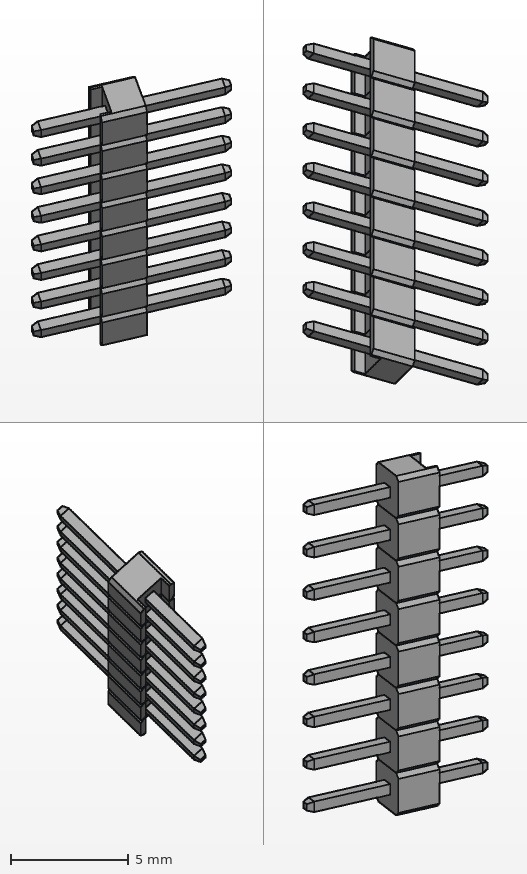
import cadquery as cq

UNIT_COUNT = 8
PITCH = 2.0

BLOCK_WIDTH = PITCH
BLOCK_DEPTH = PITCH
CORNER_CHAMFER = PITCH / 10
WALL = 0.3
CHANNEL_DEPTH = PITCH / 4

PIN_LENGTH = 8.8
PIN_WIDTH = PITCH / 4
TIP_WIDTH = 0.6 * PIN_WIDTH
TIP_LENGTH = TIP_WIDTH
REAR_PIN_LENGTH = 2 * PITCH

PIN_FRONT = -PIN_LENGTH / 2
PIN_REAR = PIN_LENGTH / 2
BLOCK_REAR = PIN_REAR - REAR_PIN_LENGTH
BLOCK_FRONT = BLOCK_REAR - BLOCK_DEPTH


def make_block():
    """Chamfered block with a channel across its front, open at top and bottom."""
    block = (
        cq.Workplane("XY")
        .box(BLOCK_WIDTH, BLOCK_DEPTH, PITCH)
        .edges("|Y")
        .chamfer(CORNER_CHAMFER)
        .translate((0, BLOCK_FRONT + BLOCK_DEPTH / 2, 0))
    )
    channel = (
        cq.Workplane("XY")
        .box(BLOCK_WIDTH - 2 * WALL, CHANNEL_DEPTH, PITCH)
        .translate((0, BLOCK_FRONT + CHANNEL_DEPTH / 2, 0))
    )
    return block.cut(channel)


def make_tip(end, outward):
    """Tapered square tip that finishes at Y = end; outward is +1 or -1 along Y."""
    base = end - outward * TIP_LENGTH
    return (
        cq.Workplane("XZ", origin=(0, base, 0))
        .rect(PIN_WIDTH, PIN_WIDTH)
        .workplane(offset=-outward * TIP_LENGTH)
        .rect(TIP_WIDTH, TIP_WIDTH)
        .loft(ruled=True)
    )


def make_pin():
    """Square pin along Y with a tapered tip at each end."""
    shank = cq.Workplane("XY").box(PIN_WIDTH, PIN_LENGTH - 2 * TIP_LENGTH, PIN_WIDTH)
    return shank.union(make_tip(PIN_FRONT, -1)).union(make_tip(PIN_REAR, 1))


def make_unit(index):
    """One header unit, block and pin in one piece, counted from the bottom."""
    height = (index - (UNIT_COUNT - 1) / 2) * PITCH
    return make_block().union(make_pin()).translate((0, 0, height))


units = [make_unit(index).val() for index in range(UNIT_COUNT)]

result = cq.Compound.makeCompound(units)